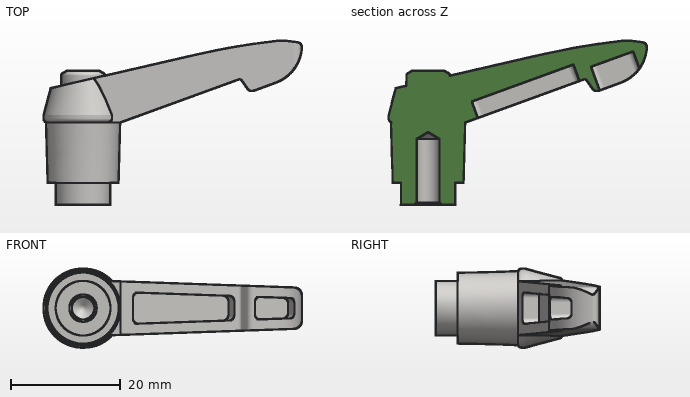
import math

import cadquery as cq


SPIGOT_RADIUS = 5.0
SPIGOT_HEIGHT = 4.0
BODY_FOOT_RADIUS = 6.5
BODY_TOP_RADIUS = 6.8
HEAD_BASE_Y = 15.0
RIM_RADIUS = 7.25
RIM_ROUND = 0.75
RIM_LAND = 0.6
HEAD_CONE_ANGLE = 15.0
PIN_RADIUS = 4.0
PIN_TOP_Y = 24.5
PIN_FACE_RADIUS = 2.94
PIN_BEVEL_ANGLE = 30.0
PIN_ROUND = 0.5

HOLE_RADIUS = 4.13 / 2
HOLE_MOUTH_RADIUS = 2.5
HOLE_DEPTH = 12.0
DRILL_POINT_ANGLE = 118.0

ARM_END_X = 40.0
TOP_SLOPE = 13.0
TOP_AXIS_Y = 22.68
TOP_STRAIGHT_END_X = 20.5
CROWN_RADIUS = 9.0
CROWN_X = 36.3
CROWN_Y = 30.0
CROWN_START_SLOPE = 6.4
CROWN_END_SLOPE = 7.4
UNDERSIDE_SLOPE = 20.0
NOTCH_TOP_X = 28.75
NOTCH_SLOPE = 55.0
NOTCH_RUN = 1.71
NOTCH_ROOT_ROUND = 0.5
NOTCH_HEEL_ROUND = 1.0
TIP_ARC_START_X = 35.1
TIP_CORNER_ROUND = 1.0

ARM_AXIS_HALF_WIDTH = 5.15
ARM_SIDE_TAPER = 2.0
ARM_END_ROUND = 1.6

POCKET_WALL = 1.95
POCKET_CORNER_ROUND = 1.0
MAIN_POCKET_START = 2.45
MAIN_POCKET_LENGTH = 19.7
MAIN_POCKET_DEPTH = 3.2
TIP_POCKET_START = 0.95
TIP_POCKET_LENGTH = 8.15
TIP_POCKET_DEPTH = 4.6
POCKET_MOUTH_CLEARANCE = 0.2


def tan(degrees):
    return math.tan(math.radians(degrees))


def sin(degrees):
    return math.sin(math.radians(degrees))


def cos(degrees):
    return math.cos(math.radians(degrees))


def top_line_y(x):
    """Height of the straight sloping top shared by the head and the arm."""
    return TOP_AXIS_Y + x * tan(TOP_SLOPE)


def arm_half_width(x):
    return ARM_AXIS_HALF_WIDTH - x * tan(ARM_SIDE_TAPER)


ROOT = (BODY_TOP_RADIUS, HEAD_BASE_Y)
NOTCH_TOP = (NOTCH_TOP_X, ROOT[1] + (NOTCH_TOP_X - ROOT[0]) * tan(UNDERSIDE_SLOPE))
HEEL = (NOTCH_TOP[0] + NOTCH_RUN, NOTCH_TOP[1] - NOTCH_RUN * tan(NOTCH_SLOPE))


def revolve_about_y(profile):
    return profile.close().revolve(360, (0, 0, 0), (0, 1, 0))


def make_body():
    """Spigot and the slightly flared body above it."""
    return revolve_about_y(
        cq.Workplane("XY")
        .lineTo(SPIGOT_RADIUS, 0)
        .lineTo(SPIGOT_RADIUS, SPIGOT_HEIGHT)
        .lineTo(BODY_FOOT_RADIUS, SPIGOT_HEIGHT)
        .lineTo(BODY_TOP_RADIUS, HEAD_BASE_Y)
        .lineTo(0, HEAD_BASE_Y)
    )


def make_head():
    """Conical head with a rounded rim, cut off by the sloping top."""
    land_start_y = HEAD_BASE_Y + RIM_ROUND
    cone_start_y = land_start_y + RIM_LAND
    cone_end_y = top_line_y(RIM_RADIUS)
    cone_end_radius = RIM_RADIUS - (cone_end_y - cone_start_y) * tan(HEAD_CONE_ANGLE)
    cone = revolve_about_y(
        cq.Workplane("XY")
        .moveTo(0, HEAD_BASE_Y)
        .lineTo(RIM_RADIUS - RIM_ROUND, HEAD_BASE_Y)
        .radiusArc((RIM_RADIUS, land_start_y), -RIM_ROUND)
        .lineTo(RIM_RADIUS, cone_start_y)
        .lineTo(cone_end_radius, cone_end_y)
        .lineTo(0, cone_end_y)
    )
    below_top = (
        cq.Workplane("XY")
        .moveTo(-RIM_RADIUS, HEAD_BASE_Y)
        .lineTo(RIM_RADIUS, HEAD_BASE_Y)
        .lineTo(RIM_RADIUS, top_line_y(RIM_RADIUS))
        .lineTo(-RIM_RADIUS, top_line_y(-RIM_RADIUS))
        .close()
        .extrude(RIM_RADIUS, both=True)
    )
    return cone.intersect(below_top)


def make_pin():
    """Round pin standing out of the sloping top, bevelled and with the bevel edge rounded."""
    bevel_base_y = PIN_TOP_Y - (PIN_RADIUS - PIN_FACE_RADIUS) * tan(PIN_BEVEL_ANGLE)
    round_setback = PIN_ROUND * tan((90 - PIN_BEVEL_ANGLE) / 2)
    round_end = (
        PIN_RADIUS - round_setback * cos(PIN_BEVEL_ANGLE),
        bevel_base_y + round_setback * sin(PIN_BEVEL_ANGLE),
    )
    return revolve_about_y(
        cq.Workplane("XY")
        .moveTo(0, HEAD_BASE_Y)
        .lineTo(PIN_RADIUS, HEAD_BASE_Y)
        .lineTo(PIN_RADIUS, bevel_base_y - round_setback)
        .radiusArc(round_end, -PIN_ROUND)
        .lineTo(PIN_FACE_RADIUS, PIN_TOP_Y)
        .lineTo(0, PIN_TOP_Y)
    )


def make_arm_side():
    """Side profile of the arm, extruded across its full width."""
    crown_centre_y = CROWN_Y - CROWN_RADIUS
    crown_start = (
        CROWN_X - CROWN_RADIUS * sin(CROWN_START_SLOPE),
        crown_centre_y + CROWN_RADIUS * cos(CROWN_START_SLOPE),
    )
    crown_end = (
        CROWN_X + CROWN_RADIUS * sin(CROWN_END_SLOPE),
        crown_centre_y + CROWN_RADIUS * cos(CROWN_END_SLOPE),
    )
    back_start = (TOP_STRAIGHT_END_X, top_line_y(TOP_STRAIGHT_END_X))
    back_radius = (crown_start[0] - back_start[0]) / (sin(TOP_SLOPE) - sin(CROWN_START_SLOPE))
    tip_corner = (ARM_END_X, crown_end[1] - (ARM_END_X - crown_end[0]) * tan(CROWN_END_SLOPE))
    tip_arc_start = (TIP_ARC_START_X, HEEL[1] + (TIP_ARC_START_X - HEEL[0]) * tan(UNDERSIDE_SLOPE))
    side = (
        cq.Workplane("XY")
        .moveTo(0, HEAD_BASE_Y)
        .lineTo(*ROOT)
        .lineTo(*NOTCH_TOP)
        .lineTo(*HEEL)
        .lineTo(*tip_arc_start)
        .tangentArcPoint(tip_corner, relative=False)
        .lineTo(*crown_end)
        .threePointArc((CROWN_X, CROWN_Y), crown_start)
        .radiusArc(back_start, -back_radius)
        .lineTo(0, TOP_AXIS_Y)
        .close()
        .extrude(ARM_AXIS_HALF_WIDTH, both=True)
    )
    corner_rounds = (
        (NOTCH_TOP, NOTCH_ROOT_ROUND),
        (HEEL, NOTCH_HEEL_ROUND),
        (tip_corner, TIP_CORNER_ROUND),
    )
    for (x, y), radius in corner_rounds:
        corner_edge = cq.selectors.NearestToPointSelector((x, y, 0))
        side = side.edges("|Z").edges(corner_edge).fillet(radius)
    return side


def make_arm():
    """Arm with its width tapering to a tip rounded at both corners."""
    root_half_width = arm_half_width(0)
    end_half_width = arm_half_width(ARM_END_X)
    width_outline = (
        cq.Workplane("XZ")
        .moveTo(0, -root_half_width)
        .lineTo(ARM_END_X, -end_half_width)
        .lineTo(ARM_END_X, end_half_width)
        .lineTo(0, root_half_width)
        .close()
        .extrude(-CROWN_Y)
        .edges("|Y and >X")
        .fillet(ARM_END_ROUND)
    )
    return make_arm_side().intersect(width_outline)


def make_pocket(corner, start, length, depth):
    """Pocket square to the underside, with an even wall to the arm sides."""
    end = start + length
    start_half_width = arm_half_width(corner[0] + start * cos(UNDERSIDE_SLOPE)) - POCKET_WALL
    end_half_width = arm_half_width(corner[0] + end * cos(UNDERSIDE_SLOPE)) - POCKET_WALL
    face = cq.Plane(
        origin=(corner[0], corner[1], 0),
        xDir=(cos(UNDERSIDE_SLOPE), sin(UNDERSIDE_SLOPE), 0),
        normal=(-sin(UNDERSIDE_SLOPE), cos(UNDERSIDE_SLOPE), 0),
    )
    return (
        cq.Workplane(face)
        .workplane(offset=-POCKET_MOUTH_CLEARANCE)
        .moveTo(start, -start_half_width)
        .lineTo(end, -end_half_width)
        .lineTo(end, end_half_width)
        .lineTo(start, start_half_width)
        .close()
        .extrude(depth + POCKET_MOUTH_CLEARANCE)
        .edges(cq.selectors.ParallelDirSelector(face.zDir))
        .fillet(POCKET_CORNER_ROUND)
    )


def make_hole():
    """Blind drilled hole with a 45 degree countersunk mouth."""
    mouth_depth = HOLE_MOUTH_RADIUS - HOLE_RADIUS
    point_depth = HOLE_RADIUS / tan(DRILL_POINT_ANGLE / 2)
    return revolve_about_y(
        cq.Workplane("XY")
        .lineTo(HOLE_MOUTH_RADIUS, 0)
        .lineTo(HOLE_RADIUS, mouth_depth)
        .lineTo(HOLE_RADIUS, HOLE_DEPTH)
        .lineTo(0, HOLE_DEPTH + point_depth)
    )


main_pocket = make_pocket(ROOT, MAIN_POCKET_START, MAIN_POCKET_LENGTH, MAIN_POCKET_DEPTH)
tip_pocket = make_pocket(HEEL, TIP_POCKET_START, TIP_POCKET_LENGTH, TIP_POCKET_DEPTH)
arm = make_arm().cut(main_pocket).cut(tip_pocket)

result = make_body().union(make_head()).union(arm).union(make_pin()).cut(make_hole())